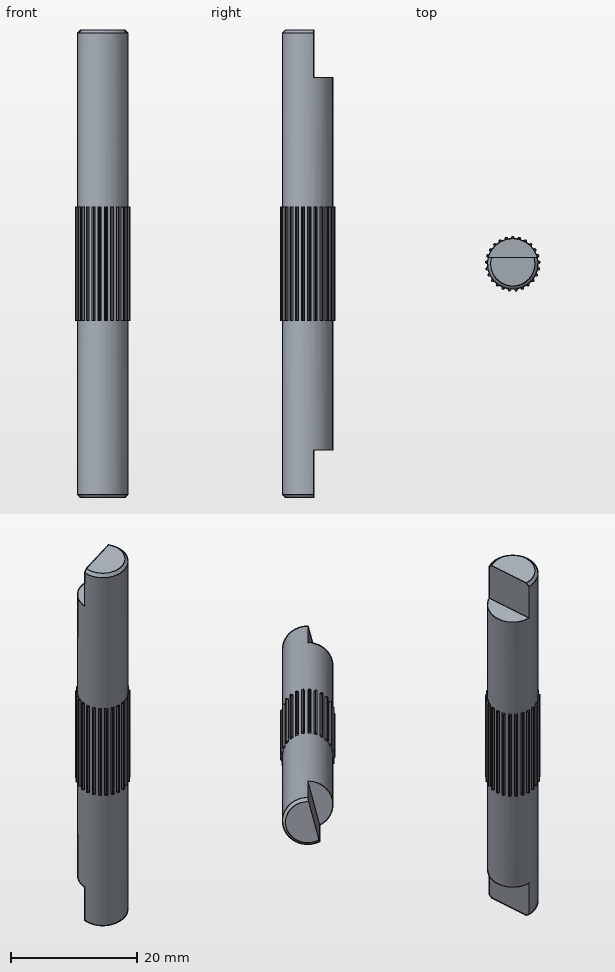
import cadquery as cq
import math

shaft_length = 74.0
shaft_radius = 4.0
end_chamfer = 0.5

flat_length = 7.5
flat_offset = 1.0

knurl_length = 18.0
knurl_radius = 4.3
tooth_count = 25
tooth_tip_width = 0.18
tooth_shoulder_width = 0.35
tooth_base_width = 0.5
tooth_shoulder_drop = 0.12
tooth_root_overlap = 0.2


def make_shaft():
    shaft = cq.Workplane("XY").circle(shaft_radius).extrude(shaft_length / 2, both=True)
    return shaft.faces("<Z or >Z").chamfer(end_chamfer)


def cut_end_flats(body):
    flat_depth = shaft_radius - flat_offset
    for side in (-1, 1):
        cutter = cq.Workplane("XY").box(2 * shaft_radius, flat_depth, flat_length)
        cutter = cutter.translate(
            (0, flat_offset + flat_depth / 2, side * (shaft_length - flat_length) / 2)
        )
        body = body.cut(cutter)
    return body


def make_tooth():
    """One straight ridge with flanks that steepen towards the base, on the +Y side of the shaft."""
    half_tip = tooth_tip_width / 2
    half_shoulder = tooth_shoulder_width / 2
    half_base = tooth_base_width / 2
    tip_height = math.sqrt(knurl_radius**2 - half_tip**2)
    shoulder_height = knurl_radius - tooth_shoulder_drop
    base_height = math.sqrt(shaft_radius**2 - half_base**2)
    root_height = shaft_radius - tooth_root_overlap
    outline = [
        (-half_base, root_height),
        (-half_base, base_height),
        (-half_shoulder, shoulder_height),
        (-half_tip, tip_height),
        (half_tip, tip_height),
        (half_shoulder, shoulder_height),
        (half_base, base_height),
        (half_base, root_height),
    ]
    return cq.Workplane("XY").polyline(outline).close().extrude(knurl_length / 2, both=True)


def add_knurl(body):
    tooth = make_tooth()
    for index in range(tooth_count):
        angle = index * 360 / tooth_count
        body = body.union(tooth.rotate((0, 0, 0), (0, 0, 1), angle))
    return body


result = add_knurl(cut_end_flats(make_shaft()))